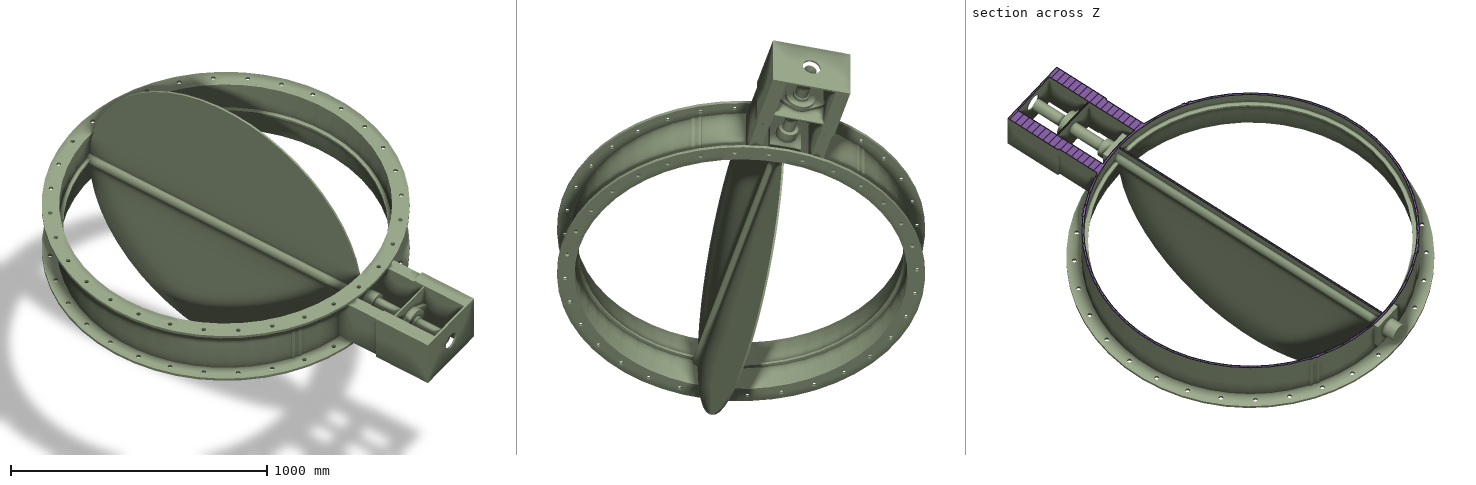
import cadquery as cq
import math

housing_height = 250
flange_diameter = 1438
flange_thickness = 12
shell_inner_diameter = 1300
shell_wall = 10
bolt_circle_diameter = 1375
bolt_hole_diameter = 18
bolt_hole_count = 32

blade_diameter = 1300
blade_thickness = 8

seat_inner_diameter = 1268
seat_thickness = 10

strip_width = 40
strip_height = 3
strip_groove_width = 14
strip_angle = 30

shaft_diameter = 50
shaft_end_x = 1058
pad_size = 126
pad_face_x = 679
closed_boss_diameter = 75
closed_boss_end_x = 733
gland_diameter = 80
gland_end_x = 724

bracket_end_x = 1078
arm_inner_y = 100
arm_width = 50
arm_height = 200
sleeve_start_x = 829
sleeve_wall = 6
end_plate_thickness = 8
end_plate_hole_diameter = 70
bearing_plate_x = 874
bearing_plate_thickness = 6

bearing_body_diameter = 117
bearing_flange_thickness = 15
bearing_ear_radius = 20
bearing_body_length = 14
bearing_collar_diameter = 62
bearing_collar_length = 12

shell_outer_radius = shell_inner_diameter / 2 + shell_wall
shell_mid_radius = (shell_inner_diameter / 2 + shell_outer_radius) / 2
pad_inner_x = math.sqrt(shell_mid_radius**2 - (pad_size / 2) ** 2)
bearing_face_x = bearing_plate_x + bearing_plate_thickness
bearing_body_x = bearing_face_x + bearing_flange_thickness
bearing_collar_x = bearing_body_x + bearing_body_length


def ring(outer_radius, inner_radius, bottom_z, height):
    return (
        cq.Workplane("XY", origin=(0, 0, bottom_z))
        .circle(outer_radius)
        .circle(inner_radius)
        .extrude(height)
    )


def rod_x(diameter, start_x, end_x):
    """Cylinder lying on the shaft axis."""
    return (
        cq.Workplane("YZ", origin=(start_x, 0, 0))
        .circle(diameter / 2)
        .extrude(end_x - start_x)
    )


def block(x_range, y_range, height):
    """Rectangular block centred on z = 0."""
    (x0, x1), (y0, y1) = x_range, y_range
    return cq.Workplane("XY").box(x1 - x0, y1 - y0, height).translate(
        ((x0 + x1) / 2, (y0 + y1) / 2, 0)
    )


def make_housing():
    shell = ring(shell_outer_radius, shell_inner_diameter / 2, -housing_height / 2, housing_height)
    flange_bottoms = (-housing_height / 2, housing_height / 2 - flange_thickness)
    for bottom_z in flange_bottoms:
        shell = shell.union(
            ring(flange_diameter / 2, shell_inner_diameter / 2, bottom_z, flange_thickness)
        )
    bolt_holes = (
        cq.Workplane("XY", origin=(0, 0, -housing_height / 2))
        .polarArray(bolt_circle_diameter / 2, 180 / bolt_hole_count, 360, bolt_hole_count)
        .circle(bolt_hole_diameter / 2)
        .extrude(housing_height)
    )
    return shell.cut(bolt_holes)


def make_joint_strips():
    """Upright grooved strips, mirrored about both the X and the Y axis."""
    outer_face = shell_outer_radius + strip_height
    depth = outer_face - shell_mid_radius
    height = housing_height - flange_thickness
    strip = cq.Workplane("XY").box(depth, strip_width, height)
    groove = cq.Workplane("XY").box(depth, strip_groove_width, height).translate(
        (depth - strip_height, 0, 0)
    )
    strip = strip.cut(groove).translate((outer_face - depth / 2, 0, 0))
    strips = cq.Workplane("XY")
    for angle in (strip_angle, 180 - strip_angle, 180 + strip_angle, 360 - strip_angle):
        strips = strips.add(strip.rotate((0, 0, 0), (0, 0, 1), angle))
    return strips.combine()


def make_seats():
    """Half rings: below the blade centre for +Y, above it for -Y."""
    seats = cq.Workplane("XY")
    for side in (1, -1):
        bottom_z = -blade_thickness / 2 - seat_thickness if side > 0 else blade_thickness / 2
        full = ring(shell_mid_radius, seat_inner_diameter / 2, bottom_z, seat_thickness)
        half_space = block(
            (-shell_outer_radius, shell_outer_radius),
            sorted((0, side * shell_outer_radius)),
            housing_height,
        )
        seats = seats.add(full.intersect(half_space))
    return seats.combine()


def make_blade():
    return (
        cq.Workplane("XZ")
        .circle(blade_diameter / 2)
        .extrude(blade_thickness / 2, both=True)
    )


def make_shaft_passages():
    """Square pads on the shell, with a closed boss at -X and a gland at +X."""
    pad_y = (-pad_size / 2, pad_size / 2)
    left_pad = block((-pad_face_x, -pad_inner_x), pad_y, pad_size)
    right_pad = left_pad.mirror("YZ")
    boss = rod_x(closed_boss_diameter, -closed_boss_end_x, -pad_face_x)
    gland = rod_x(gland_diameter, pad_face_x, gland_end_x)
    return left_pad.union(right_pad).union(boss).union(gland)


def make_bracket():
    inner_y = arm_inner_y
    outer_y = arm_inner_y + arm_width
    bore = cq.Workplane("XY").circle(shell_mid_radius).extrude(housing_height, both=True)
    arm = block((0, bracket_end_x), (inner_y, outer_y), arm_height).cut(bore)
    sleeve = block(
        (sleeve_start_x, bracket_end_x),
        (inner_y, outer_y + sleeve_wall),
        arm_height + 2 * sleeve_wall,
    )
    side = arm.union(sleeve)
    bearing_plate = block((bearing_plate_x, bearing_face_x), (-inner_y, inner_y), arm_height)
    end_plate = block(
        (bracket_end_x - end_plate_thickness, bracket_end_x),
        (-inner_y, inner_y),
        arm_height + 2 * sleeve_wall,
    )
    end_hole = rod_x(end_plate_hole_diameter, shaft_end_x, bracket_end_x)
    return side.union(side.mirror("XZ")).union(bearing_plate).union(end_plate.cut(end_hole))


def make_bearing():
    """Oval flange whose flats run tangent to the body and to the two ears."""
    body_radius = bearing_body_diameter / 2
    ear_y = arm_inner_y - bearing_ear_radius
    sine = (body_radius - bearing_ear_radius) / ear_y
    cosine = math.sqrt(1 - sine**2)
    body_point = (body_radius * sine, body_radius * cosine)
    ear_point = (ear_y + bearing_ear_radius * sine, bearing_ear_radius * cosine)
    flange = (
        cq.Workplane("YZ", origin=(bearing_face_x, 0, 0))
        .moveTo(-body_point[0], body_point[1])
        .threePointArc((0, body_radius), body_point)
        .lineTo(*ear_point)
        .threePointArc((arm_inner_y, 0), (ear_point[0], -ear_point[1]))
        .lineTo(body_point[0], -body_point[1])
        .threePointArc((0, -body_radius), (-body_point[0], -body_point[1]))
        .lineTo(-ear_point[0], -ear_point[1])
        .threePointArc((-arm_inner_y, 0), (-ear_point[0], ear_point[1]))
        .close()
        .extrude(bearing_flange_thickness)
    )
    body = rod_x(bearing_body_diameter, bearing_face_x, bearing_collar_x)
    collar = rod_x(bearing_collar_diameter, bearing_collar_x, bearing_collar_x + bearing_collar_length)
    return flange.union(body).union(collar)


result = (
    make_housing()
    .union(make_joint_strips())
    .union(make_seats())
    .union(make_blade())
    .union(make_shaft_passages())
    .union(rod_x(shaft_diameter, -pad_face_x, shaft_end_x))
    .union(make_bracket())
    .union(make_bearing())
)